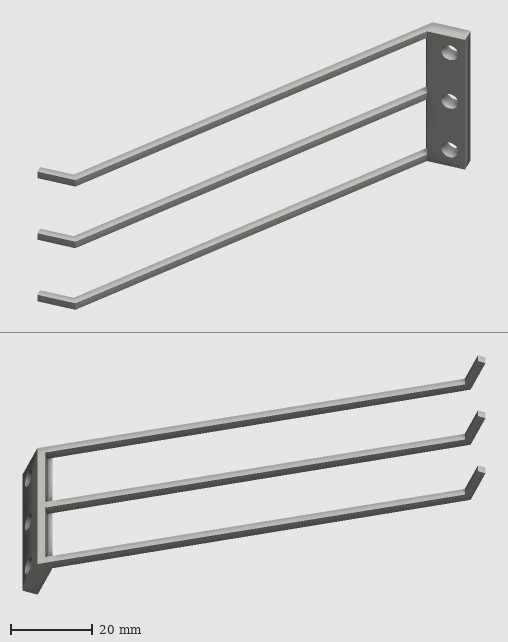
import cadquery as cq

width = 80.0
depth = 91.0
height = 40.0

plate_width = 10.0
plate_thickness = 4.0
foot_length = 10.0
foot_thickness = 2.0
inner_bend_x = 8.8

bar_count = 3
bar_height = 2.0
bar_pitch = (height - bar_height) / (bar_count - 1)

lip_width = 1.1
notch_height = 1.1

hole_diameter = 4.5
hole_edge_distance = 4.0
hole_spacing = 15.0
hole_count = 3

plate_left = width - plate_width
plate_front = depth - plate_thickness


def make_bar(bottom):
    """Foot, sloping arm and plate section of one bent bar."""
    return (
        cq.Workplane("XY", origin=(0, 0, bottom))
        .moveTo(0, 0)
        .lineTo(foot_length, 0)
        .lineTo(plate_left, plate_front)
        .lineTo(width, plate_front)
        .lineTo(width, depth)
        .lineTo(plate_left, depth)
        .lineTo(inner_bend_x, foot_thickness)
        .lineTo(0, foot_thickness)
        .close()
        .extrude(bar_height)
    )


def make_plate():
    """Full-height plate with a lip and a notch along its left edge."""
    outer_slope = (depth - foot_thickness) / (plate_left - inner_bend_x)
    inner_slope = plate_front / (plate_left - foot_length)
    lip_y = depth - lip_width * outer_slope
    return (
        cq.Workplane("XY")
        .moveTo(plate_left, plate_front)
        .lineTo(width, plate_front)
        .lineTo(width, depth)
        .lineTo(plate_left, depth)
        .lineTo(plate_left - lip_width, lip_y)
        .lineTo(plate_left + notch_height / inner_slope, plate_front + notch_height)
        .close()
        .extrude(height)
    )


def make_holes():
    """Cylinders running through the plate thickness."""
    return (
        cq.Workplane("XZ", origin=(width - hole_edge_distance, depth, height / 2))
        .rarray(0.9, hole_spacing, 1, hole_count)
        .circle(hole_diameter / 2)
        .extrude(plate_thickness)
    )


result = make_plate()
for index in range(bar_count):
    result = result.union(make_bar(index * bar_pitch))
result = result.cut(make_holes())